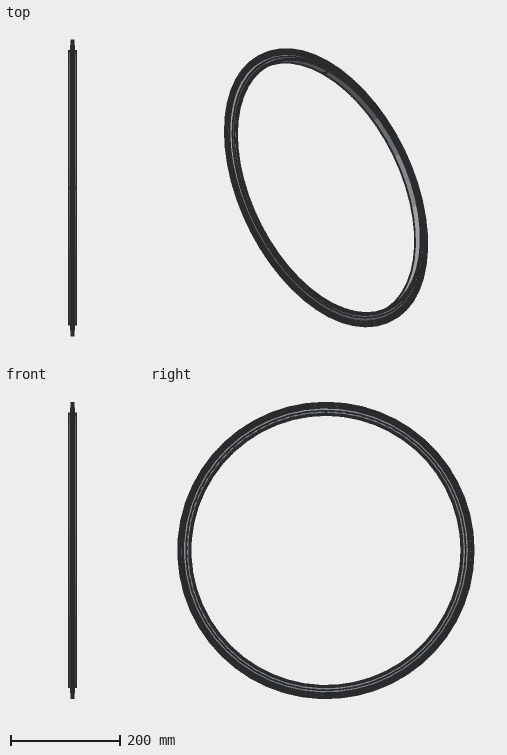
import cadquery as cq
import math


seal_center_radius = 258.0
seal_section_radius = 3.5

inner_bore_radius = 247.5
lip_radius = 250.5
lip_half_width = 7.0
web_half_width = 2.8

outer_radius = 270.5
outer_bore_radius = 263.0
outer_half_width = 2.7
bore_chamfer = 0.5

groove_half_width = 1.5
groove_depth = 4.0
band_thickness = 2.0

slit_width = 1.8


def revolve_ring(profile):
    """Revolve a closed profile, drawn as (x, radius), about the X axis."""
    return profile.revolve(360, (0, 0, 0), (1, 0, 0))


def rectangle_ring(half_width, inner_radius, rim_radius):
    profile = (
        cq.Workplane("XY")
        .moveTo(-half_width, inner_radius)
        .lineTo(half_width, inner_radius)
        .lineTo(half_width, rim_radius)
        .lineTo(-half_width, rim_radius)
        .close()
    )
    return revolve_ring(profile)


def make_slit_cutter():
    length = 2 * lip_half_width + slit_width
    height = outer_radius - inner_bore_radius
    middle_radius = (outer_radius + inner_bore_radius) / 2
    return cq.Workplane("XY").box(length, slit_width, 2 * height).translate((0, 0, middle_radius))


def make_inner_ring():
    """Wide lip with a narrow web, whose end is hollowed to seat the seal."""
    seat_edge_radius = seal_center_radius - math.sqrt(seal_section_radius**2 - web_half_width**2)
    seat_bottom_radius = seal_center_radius - seal_section_radius
    profile = (
        cq.Workplane("XY")
        .moveTo(-lip_half_width, inner_bore_radius)
        .lineTo(lip_half_width, inner_bore_radius)
        .lineTo(lip_half_width, lip_radius)
        .lineTo(web_half_width, lip_radius)
        .lineTo(web_half_width, seat_edge_radius)
        .threePointArc((0, seat_bottom_radius), (-web_half_width, seat_edge_radius))
        .lineTo(-web_half_width, lip_radius)
        .lineTo(-lip_half_width, lip_radius)
        .close()
    )
    return revolve_ring(profile).cut(make_slit_cutter())


def make_seal():
    return revolve_ring(cq.Workplane("XY").moveTo(0, seal_center_radius).circle(seal_section_radius))


def make_outer_ring():
    """Flat ring with a chamfered bore and a groove around its rim."""
    bore_flat_half_width = outer_half_width - bore_chamfer
    chamfer_radius = outer_bore_radius + bore_chamfer
    floor_radius = outer_radius - groove_depth
    profile = (
        cq.Workplane("XY")
        .moveTo(-bore_flat_half_width, outer_bore_radius)
        .lineTo(bore_flat_half_width, outer_bore_radius)
        .lineTo(outer_half_width, chamfer_radius)
        .lineTo(outer_half_width, outer_radius)
        .lineTo(groove_half_width, outer_radius)
        .lineTo(groove_half_width, floor_radius)
        .lineTo(-groove_half_width, floor_radius)
        .lineTo(-groove_half_width, outer_radius)
        .lineTo(-outer_half_width, outer_radius)
        .lineTo(-outer_half_width, chamfer_radius)
        .close()
    )
    return revolve_ring(profile).cut(make_slit_cutter())


def make_band():
    """Closed band on the groove floor, set below the rim."""
    floor_radius = outer_radius - groove_depth
    return rectangle_ring(groove_half_width, floor_radius, floor_radius + band_thickness)


inner_ring = make_inner_ring()
seal = make_seal()
outer_ring = make_outer_ring()
band = make_band()

result = cq.Compound.makeCompound([inner_ring.val(), seal.val(), outer_ring.val(), band.val()])